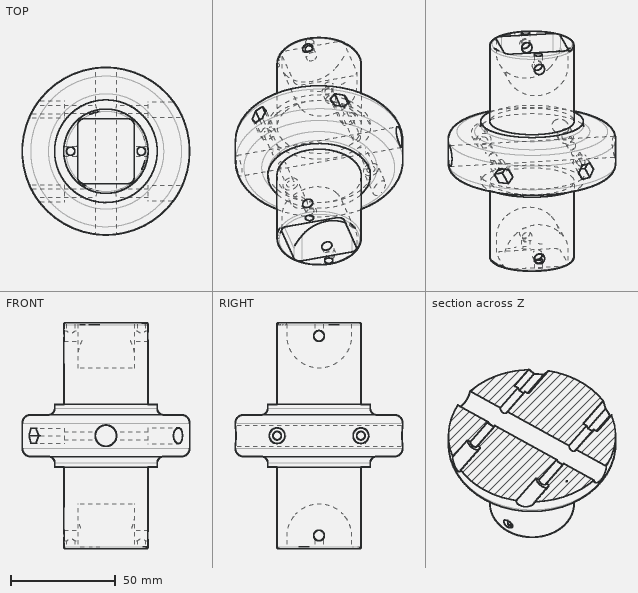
import cadquery as cq
import math

length = 108.0
tube_diameter = 40.3
end_fillet = 1.0
flange_diameter = 80.0
flange_width = 20.0
flange_fillet = 4.0
hub_diameter = 49.0
hub_width = 30.0
hub_fillet = 3.0

pocket_x = 27.0
pocket_y = 31.0
pocket_wall_depth = 6.0
pocket_corner_radius = 3.0

pin_hole_diameter = 4.0
pin_hole_offset = 16.8
cross_hole_diameter = 5.0
cross_hole_inset = 6.4
pin_hole_depth = cross_hole_inset

center_hole_diameter = 10.0
bolt_hole_diameter = 3.9
bolt_offset = 20.0
bolt_seat_distance = 20.0
bolt_head_diameter = 7.5
nut_across_flats = 7.0
nut_across_corners = nut_across_flats / math.cos(math.pi / 6)


def disc(diameter, width):
    """Cylinder on the Z axis, centred at the origin."""
    return cq.Workplane("XY", origin=(0, 0, -width / 2)).circle(diameter / 2).extrude(width)


def make_body():
    tube = disc(tube_diameter, length).faces("<Z or >Z").edges().fillet(end_fillet)
    flange = disc(flange_diameter, flange_width).edges().fillet(flange_fillet)
    collar = disc(hub_diameter, hub_width).union(flange)

    reach = hub_diameter / 2 + hub_fillet
    half_height = (flange_width + hub_fillet) / 2
    hub_roots = collar.edges(
        cq.selectors.BoxSelector(
            (-reach, -reach, -half_height),
            (reach, reach, half_height),
            boundingbox=True,
        )
    ).edges("%CIRCLE")
    collar = hub_roots.fillet(hub_fillet)
    return tube.union(collar)


def make_x_hole(diameter, y, z):
    """Cylinder along X through the whole part."""
    return (
        cq.Workplane("YZ")
        .center(y, z)
        .circle(diameter / 2)
        .extrude(flange_diameter / 2, both=True)
    )


def make_end_cut():
    """Everything removed from the upper end of the tube."""
    top = length / 2
    arc_center_z = top - pocket_wall_depth
    trough = (
        cq.Workplane("YZ")
        .moveTo(-pocket_y / 2, top)
        .lineTo(-pocket_y / 2, arc_center_z)
        .threePointArc((0, arc_center_z - pocket_y / 2), (pocket_y / 2, arc_center_z))
        .lineTo(pocket_y / 2, top)
        .close()
        .extrude(pocket_x / 2, both=True)
    )
    rounded_prism = (
        cq.Workplane("XY")
        .rect(pocket_x, pocket_y)
        .extrude(top)
        .edges("|Z")
        .fillet(pocket_corner_radius)
    )
    pocket = trough.intersect(rounded_prism)
    pin_holes = (
        cq.Workplane("XY", origin=(0, 0, top))
        .pushPoints([(-pin_hole_offset, 0), (pin_hole_offset, 0)])
        .circle(pin_hole_diameter / 2)
        .extrude(-pin_hole_depth)
    )
    cross_hole = make_x_hole(cross_hole_diameter, 0, top - cross_hole_inset)
    return pocket.union(pin_holes).union(cross_hole)


def make_bolt_cut(y):
    """Bolt hole along X with a nut pocket on -X and a head counterbore on +X."""
    seat_depth = flange_diameter / 2 - bolt_seat_distance
    nut = (
        cq.Workplane("YZ", origin=(-bolt_seat_distance, y, 0))
        .polygon(6, nut_across_corners)
        .extrude(-seat_depth)
    )
    head = (
        cq.Workplane("YZ", origin=(bolt_seat_distance, y, 0))
        .circle(bolt_head_diameter / 2)
        .extrude(seat_depth)
    )
    return make_x_hole(bolt_hole_diameter, y, 0).union(nut).union(head)


result = make_body()

end_cut = make_end_cut()
result = result.cut(end_cut).cut(end_cut.mirror("XY"))

center_hole = (
    cq.Workplane("XZ")
    .circle(center_hole_diameter / 2)
    .extrude(flange_diameter / 2, both=True)
)
result = result.cut(center_hole)

for bolt_y in (-bolt_offset, bolt_offset):
    result = result.cut(make_bolt_cut(bolt_y))